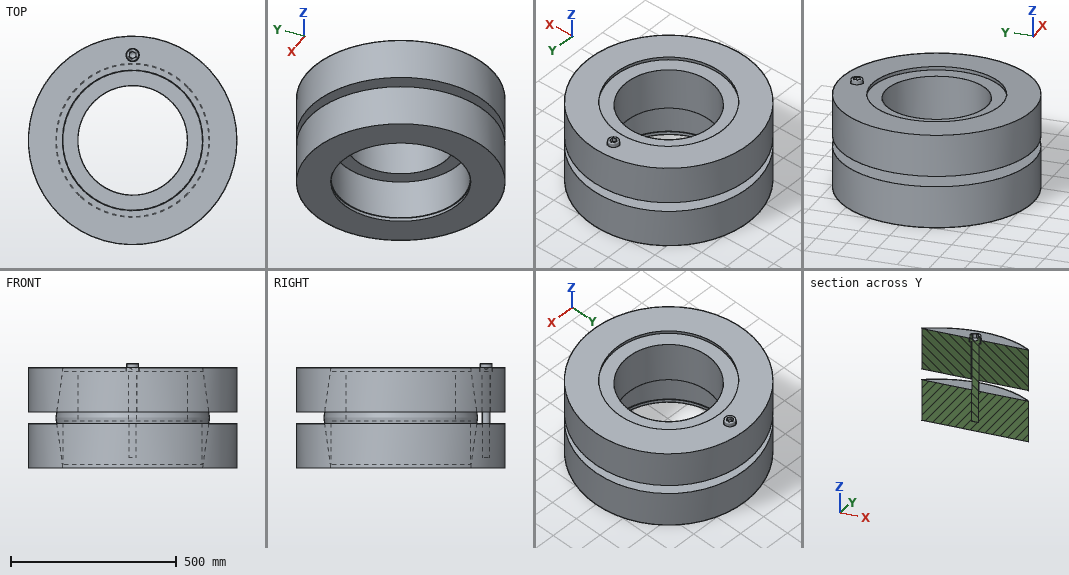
import cadquery as cq
import math


ring_diameter = 630
ring_height = 135
ring_gap = 34
stack_height = 2 * ring_height + ring_gap
upper_ring_bottom = ring_height + ring_gap
mid_height = stack_height / 2

taper_angle = 8
taper_end_diameter = 422
taper_slope = math.tan(math.radians(taper_angle))

end_recess = 12
inner_ring_bottom = end_recess
inner_ring_top = stack_height - end_recess
bore_diameter = 330
bore_length = 150
counterbore_diameter = 420
counterbore_top = inner_ring_top - bore_length

screw_circle_diameter = 515
screw_offset = screw_circle_diameter / 2
screw_diameter = 24
thread_core_diameter = 20.75
screw_length = 260
head_diameter = 36
head_height = 24
head_fillet = 2.4
socket_width = 19
socket_depth = 12
socket_tip_angle = 120
clearance_diameter = 26
head_pocket_diameter = 40
head_pocket_depth = 12
head_seat = stack_height - head_pocket_depth
screw_tip = head_seat - screw_length


def taper_radius(z):
    """Radius of the double taper, widest at mid height and equal at both ends."""
    return taper_end_diameter / 2 + taper_slope * (mid_height - abs(z - mid_height))


def revolved(profile):
    """Solid of revolution about Z from (radius, height) points."""
    return cq.Workplane("XZ").polyline(profile).close().revolve(360, (0, 0, 0), (0, 1, 0))


def screw_cylinder(diameter, bottom, top):
    """Cylinder on the screw axis between two heights."""
    base = cq.Workplane("XY", origin=(0, screw_offset, bottom))
    return base.circle(diameter / 2).extrude(top - bottom)


def clamping_ring(bottom):
    """Plain ring with a tapered bore that fits the inner ring."""
    top = bottom + ring_height
    return revolved([
        (taper_radius(bottom), bottom),
        (ring_diameter / 2, bottom),
        (ring_diameter / 2, top),
        (taper_radius(top), top),
    ])


def make_lower_ring():
    tapped_hole = screw_cylinder(thread_core_diameter, screw_tip, ring_height)
    return clamping_ring(0).cut(tapped_hole)


def make_upper_ring():
    clearance_hole = screw_cylinder(clearance_diameter, upper_ring_bottom, head_seat)
    head_pocket = screw_cylinder(head_pocket_diameter, head_seat, stack_height)
    return clamping_ring(upper_ring_bottom).cut(clearance_hole).cut(head_pocket)


def make_inner_ring():
    """Double-tapered ring whose bore opens into a wide counterbore below."""
    return revolved([
        (counterbore_diameter / 2, inner_ring_bottom),
        (taper_radius(inner_ring_bottom), inner_ring_bottom),
        (taper_radius(mid_height), mid_height),
        (taper_radius(inner_ring_top), inner_ring_top),
        (bore_diameter / 2, inner_ring_top),
        (bore_diameter / 2, counterbore_top),
        (counterbore_diameter / 2, counterbore_top),
    ])


def make_socket(head_top):
    """Hexagon socket with two corners along Y and a conical drill point at its bottom."""
    corner_radius = socket_width / math.sqrt(3)
    tip_depth = corner_radius / math.tan(math.radians(socket_tip_angle / 2))
    floor = head_top - socket_depth
    tip = floor - tip_depth
    hexagon = (
        cq.Workplane("XY", origin=(0, screw_offset, tip))
        .transformed(rotate=(0, 0, 90))
        .polygon(6, 2 * corner_radius)
        .extrude(head_top - tip)
    )
    pointed_drill = revolved([(0, tip), (corner_radius, floor), (corner_radius, head_top), (0, head_top)])
    return hexagon.intersect(pointed_drill.translate((0, screw_offset, 0)))


def make_screw():
    """Screw with a full-size shank down to the lower ring and its thread modelled at core size."""
    head_top = head_seat + head_height
    head = screw_cylinder(head_diameter, head_seat, head_top).faces(">Z").edges().fillet(head_fillet)
    shank = screw_cylinder(screw_diameter, ring_height, head_seat)
    thread = screw_cylinder(thread_core_diameter, screw_tip, ring_height)
    return head.union(shank).union(thread).cut(make_socket(head_top))


lower_ring = make_lower_ring()
upper_ring = make_upper_ring()
inner_ring = make_inner_ring()
screw = make_screw()

result = cq.Compound.makeCompound([
    lower_ring.val(),
    upper_ring.val(),
    inner_ring.val(),
    screw.val(),
])